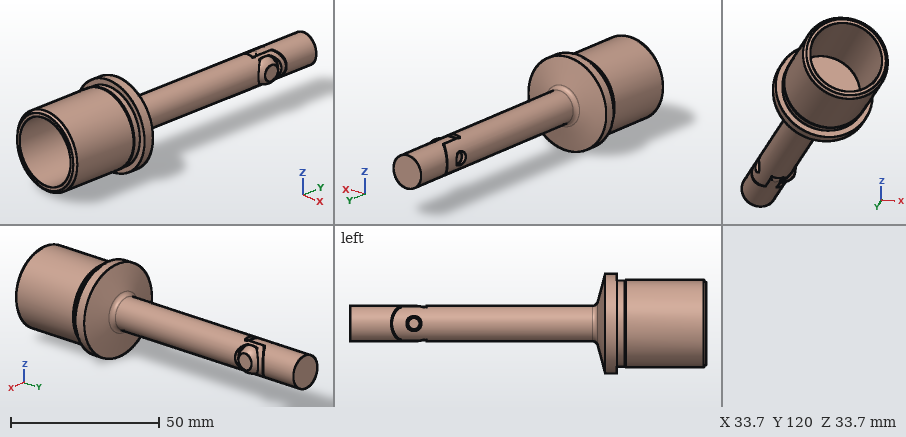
import cadquery as cq
import math


total_length = 120.0
rod_radius = 12.0 / 2

cup_radius = 29.5 / 2
cup_bore_radius = 25.0 / 2
cup_bore_depth = 30.0
cup_chamfer = 1.0
relief_radius = 28.9 / 2
relief_start = 27.0
relief_taper = 0.4
neck_radius = 29.2 / 2
neck_start = 27.6

flange_radius = 33.7 / 2
flange_start = 30.1
flange_thickness = 4.0
cone_angle = 15.0
cone_fillet = 1.8
flange_end = flange_start + flange_thickness
cone_end = flange_end + (flange_radius - rod_radius) * math.tan(math.radians(cone_angle))

pivot_y = 98.5
slot_width = 4.0
slot_floor = 94.2
tongue_nose_y = 97.8
shoulder_y = 102.8
shoulder_angle = 37.0
shoulder_gap = 0.4
tongue_nose_radius = rod_radius
slope_rise = (rod_radius - slot_width / 2) * math.tan(math.radians(shoulder_angle))

pin_radius = 4.8 / 2
pin_hole_radius = 5.0 / 2
pin_end_chamfer = 0.5
pin_end_depth = 1.2
recess_radius = 10.5 / 2
recess_floor = 3.4
head_radius = 10.1 / 2
head_top_x = 6.7
head_top_radius = 3.0
head_dome_radius = 5.2


def joint_outline(gap):
    """Tip side of the joint: two sloping shoulders, raised by gap, and a tongue; extruded along Z."""
    half = slot_width / 2
    inner_y = shoulder_y + gap
    outer_y = inner_y + slope_rise
    return (
        cq.Workplane("XY")
        .moveTo(-half, slot_floor)
        .lineTo(half, slot_floor)
        .lineTo(half, inner_y)
        .lineTo(rod_radius, outer_y)
        .lineTo(rod_radius, total_length)
        .lineTo(-rod_radius, total_length)
        .lineTo(-rod_radius, outer_y)
        .lineTo(-half, inner_y)
        .close()
        .extrude(rod_radius, both=True)
    )


def x_cylinder(radius, centre_y, start_x, end_x):
    """Cylinder parallel to X at centre_y, from start_x to end_x."""
    plane = cq.Plane(origin=(start_x, centre_y, 0), xDir=(0, 1, 0), normal=(1, 0, 0))
    return cq.Workplane(plane).circle(radius).extrude(end_x - start_x)


def rod(start_y, end_y):
    """Length of the round rod along Y."""
    plane = cq.Plane(origin=(0, start_y, 0), xDir=(1, 0, 0), normal=(0, 1, 0))
    return cq.Workplane(plane).circle(rod_radius).extrude(end_y - start_y)


def turned_handle():
    """Revolved cup, flange, cone and rod, before the joint is cut."""
    turn = math.radians(90 - cone_angle)
    fillet_centre_x = rod_radius + cone_fillet
    fillet_end_y = cone_end + cone_fillet * math.tan(turn / 2)

    def fillet_point(angle):
        """Point on the cone fillet, turned by angle from where it leaves the rod."""
        return (
            fillet_centre_x - cone_fillet * math.cos(angle),
            fillet_end_y - cone_fillet * math.sin(angle),
        )

    return (
        cq.Workplane("XY")
        .moveTo(0, cup_bore_depth)
        .lineTo(cup_bore_radius, cup_bore_depth)
        .lineTo(cup_bore_radius, 0)
        .lineTo(cup_radius - cup_chamfer, 0)
        .lineTo(cup_radius, cup_chamfer)
        .lineTo(cup_radius, relief_start)
        .lineTo(relief_radius, relief_start + relief_taper)
        .lineTo(relief_radius, neck_start)
        .lineTo(neck_radius, neck_start)
        .lineTo(neck_radius, flange_start)
        .lineTo(flange_radius, flange_start)
        .lineTo(flange_radius, flange_end)
        .lineTo(*fillet_point(turn))
        .threePointArc(fillet_point(turn / 2), fillet_point(0))
        .lineTo(rod_radius, total_length)
        .lineTo(0, total_length)
        .close()
        .revolve(360, (0, 0, 0), (0, 1, 0))
    )


def make_handle():
    """Handle with the forked end, the pin hole and the recess for the pin head."""
    pin_hole = x_cylinder(pin_hole_radius, pivot_y, -rod_radius, rod_radius)
    head_recess = x_cylinder(recess_radius, pivot_y, recess_floor, rod_radius)
    return turned_handle().cut(joint_outline(0)).cut(pin_hole).cut(head_recess)


def make_tip():
    """Tip with a tongue whose end is rounded about an axis parallel to the pivot."""
    blank = rod(slot_floor, total_length).intersect(joint_outline(shoulder_gap))
    nose = x_cylinder(tongue_nose_radius, tongue_nose_y, -rod_radius, rod_radius)
    behind_nose = rod(tongue_nose_y, total_length)
    pin_hole = x_cylinder(pin_hole_radius, pivot_y, -rod_radius, rod_radius)
    return blank.intersect(nose.union(behind_nose)).cut(pin_hole)


def make_pin():
    """Pin with a chamfered plain end and a domed head with a flat top."""
    end_x = -rod_radius + pin_end_depth
    dome_centre_x = head_top_x - math.sqrt(head_dome_radius**2 - head_top_radius**2)

    def dome_point(radius):
        """Point on the head's dome at a distance from the pin axis."""
        return (dome_centre_x + math.sqrt(head_dome_radius**2 - radius**2), radius)

    return (
        cq.Workplane("XY", origin=(0, pivot_y, 0))
        .moveTo(end_x, 0)
        .lineTo(end_x, pin_radius - pin_end_chamfer)
        .lineTo(end_x + pin_end_chamfer, pin_radius)
        .lineTo(recess_floor, pin_radius)
        .lineTo(recess_floor, head_radius)
        .lineTo(*dome_point(head_radius))
        .threePointArc(dome_point((head_radius + head_top_radius) / 2), dome_point(head_top_radius))
        .lineTo(head_top_x, 0)
        .close()
        .revolve(360, (0, 0, 0), (1, 0, 0))
    )


handle = make_handle()
tip = make_tip()
pin = make_pin()

result = cq.Compound.makeCompound([*handle.solids().vals(), *tip.solids().vals(), pin.val()])